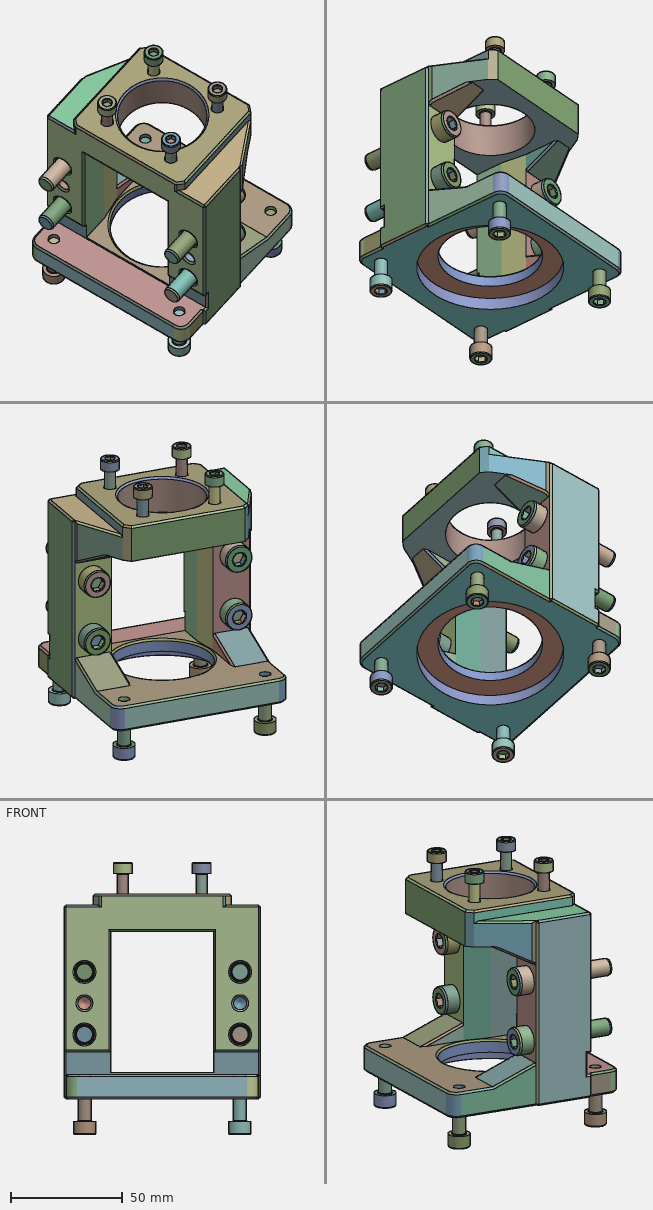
import cadquery as cq
import math

BREAK = 0.92

BASE_SIDE = 86.0
BASE_THICKNESS = 12.0
FRONT_STRIP_THICKNESS = 11.0
BASE_CORNER_RADIUS = 5.0
BASE_BORE_RADIUS = 23.4
BASE_RECESS_RADIUS = 33.0
BASE_RECESS_DEPTH = 6.0

FRAME_WIDTH = 88.0
FRAME_DEPTH = 28.0
FRAME_HEIGHT = 87.0
FRONT_Y = -FRAME_DEPTH
WINDOW_HALF_WIDTH = 23.0
WINDOW_REAR_HALF_WIDTH = 25.0
WINDOW_FLARE_Y = -12.7
NOTCH_DEPTH = 2.1
NOTCH_TOP = 21.0
NOTCH_Y = FRONT_Y + NOTCH_DEPTH

HEAD_TOP = 92.0
HEAD_UNDERSIDE = 75.0
HEAD_HALF_WIDTH = 31.0
HEAD_REAR_Y = FRAME_DEPTH
HEAD_CORNER = 3.0
HEAD_FRONT_BREAK = 0.6
HEAD_BORE_RADIUS = 20.0
SHOULDER_STRAIGHT = 2.0

GUSSET_HALF_WIDTH = BASE_SIDE / 2
UPPER_GUSSET_FOOT = 66.0
UPPER_GUSSET_REACH = 17.9
LOWER_GUSSET_FOOT = 20.0
LOWER_GUSSET_REACH = 21.7
GUSSET_ROOT = 3.7

HEAD_SCREW = (5.0, 8.5, 5.0, 4.0, 0.5)
BASE_SCREW = (6.0, 10.0, 6.0, 5.0, 0.5)
POST_SCREW = (7.9, 12.9, 7.1, 6.0, 1.0)
SCREW_BREAK = 0.4
TIP_LENGTH = 1.0
SCREW_EMBED = 4.9
HEAD_SCREW_OFFSET = 17.7
HEAD_SCREW_REACH = 14.0
HEAD_SCREW_HOLE = 5.6
HEAD_SCREW_HOLE_DEPTH = 1.2
BASE_SCREW_OFFSET = 34.8
BASE_SCREW_REACH = 16.0
BASE_HOLE_DIAMETER = 5.1
BASE_HOLE_DEPTH = 2.2
POST_HOLE_X = 34.9
POST_HOLE_Z = 43.0
POST_SCREW_PITCH = 28.0
POST_SCREW_TIP_Y = -41.1
POST_CLEARANCE_DIAMETER = 9.0
POST_CLEARANCE_BREAK = 0.6
DOWEL_HOLE_DIAMETER = 5.9
DOWEL_HOLE_DEPTH = 12.2
DOWEL_HOLE_BREAK = 0.9
DRILL_POINT_ANGLE = 118


def block(x0, x1, y0, y1, z0, z1):
    return cq.Workplane("XY").box(x1 - x0, y1 - y0, z1 - z0, centered=False).translate((x0, y0, z0))


def both_sides(solid):
    return solid.union(solid.mirror("YZ"))


def plate(thickness):
    """Square plate with round corners and broken top and bottom edges."""
    body = cq.Workplane("XY").rect(BASE_SIDE, BASE_SIDE).extrude(thickness)
    return body.edges("|Z").fillet(BASE_CORNER_RADIUS).faces("<Z or >Z").edges().chamfer(BREAK)


def turned(profile):
    """Solid of revolution about Z from (radius, height) points."""
    return cq.Workplane("XZ").polyline(profile).close().revolve(360, (0, 0), (0, 1))


def broken_bore(radius, bottom, top):
    """Cutter for a vertical bore with a chamfered top rim."""
    profile = [(0, bottom), (radius, bottom), (radius, top - BREAK), (radius + BREAK, top), (0, top)]
    return turned(profile)


def base():
    """Base plate whose front strip is slightly lower than the rest."""
    half = BASE_SIDE / 2
    front = plate(FRONT_STRIP_THICKNESS).intersect(block(-half, half, -half, NOTCH_Y, 0, BASE_THICKNESS))
    rear = plate(BASE_THICKNESS).intersect(block(-half, half, NOTCH_Y, half, 0, BASE_THICKNESS))
    return front.union(rear)


def frame():
    half = FRAME_WIDTH / 2
    return block(-half, half, FRONT_Y, 0, 0, FRAME_HEIGHT).edges().chamfer(BREAK)


def head_plate():
    """Raised plate with cut corners, flush with the front of the frame."""
    height = HEAD_TOP - HEAD_UNDERSIDE
    body = block(-HEAD_HALF_WIDTH, HEAD_HALF_WIDTH, FRONT_Y, HEAD_REAR_Y, HEAD_UNDERSIDE, HEAD_TOP)
    body = body.edges("|Z").chamfer(HEAD_CORNER)
    body = body.faces("<Y").edges("|Z").chamfer(HEAD_FRONT_BREAK)
    return body.faces(">Z").edges().chamfer(BREAK)


def shoulder_outline(inner_x):
    """Plan of the right-hand shoulder behind the frame, tapering to the head plate."""
    return [
        (inner_x, -GUSSET_ROOT),
        (GUSSET_HALF_WIDTH, -GUSSET_ROOT),
        (GUSSET_HALF_WIDTH, SHOULDER_STRAIGHT),
        (HEAD_HALF_WIDTH, HEAD_REAR_Y - HEAD_CORNER),
        (HEAD_HALF_WIDTH - HEAD_CORNER, HEAD_REAR_Y),
        (inner_x, HEAD_REAR_Y),
    ]


def shoulders():
    right = cq.Workplane("XY").workplane(offset=HEAD_UNDERSIDE).polyline(shoulder_outline(0)).close()
    right = right.extrude(FRAME_HEIGHT - HEAD_UNDERSIDE)
    return both_sides(right.faces(">Z").edges("not (|X or |Y)").chamfer(BREAK))


def upper_gussets():
    """Wedges under the shoulders, with the edges of the sloping face broken."""
    slope = (HEAD_UNDERSIDE - UPPER_GUSSET_FOOT) / UPPER_GUSSET_REACH
    rise = 2 * BREAK
    top = HEAD_UNDERSIDE + rise
    profile = [
        (-GUSSET_ROOT, top),
        (-GUSSET_ROOT, UPPER_GUSSET_FOOT - slope * GUSSET_ROOT),
        (UPPER_GUSSET_REACH + rise / slope, top),
    ]
    wedge = cq.Workplane("YZ").polyline(profile).close().extrude(GUSSET_HALF_WIDTH)
    plan = cq.Workplane("XY").polyline(shoulder_outline(WINDOW_REAR_HALF_WIDTH)).close().extrude(FRAME_HEIGHT)
    right = wedge.intersect(plan)
    right = right.faces("<Z").edges("not |X").chamfer(BREAK)
    return both_sides(right)


def lower_gussets():
    """Wedges standing on the base plate, with the edges of the sloping face broken."""
    slope = (LOWER_GUSSET_FOOT - BASE_THICKNESS) / LOWER_GUSSET_REACH
    bottom = BASE_THICKNESS - BREAK
    profile = [
        (-GUSSET_ROOT, bottom),
        (-GUSSET_ROOT, LOWER_GUSSET_FOOT + slope * GUSSET_ROOT),
        (LOWER_GUSSET_REACH + BREAK / slope, bottom),
    ]
    right = cq.Workplane("YZ").workplane(offset=WINDOW_REAR_HALF_WIDTH).polyline(profile).close()
    right = right.extrude(GUSSET_HALF_WIDTH - WINDOW_REAR_HALF_WIDTH)
    right = right.faces(">Z").edges("not |X").chamfer(BREAK)
    return both_sides(right)


def window():
    """Opening through the frame, flared at the rear and chamfered at the front."""
    outline = [
        (0, FRONT_Y),
        (WINDOW_HALF_WIDTH, FRONT_Y),
        (WINDOW_HALF_WIDTH, WINDOW_FLARE_Y),
        (WINDOW_REAR_HALF_WIDTH, 0),
        (0, 0),
    ]
    right = cq.Workplane("XY").workplane(offset=BASE_THICKNESS).polyline(outline).close()
    opening = both_sides(right.extrude(HEAD_UNDERSIDE - BASE_THICKNESS))
    bottom = (FRONT_STRIP_THICKNESS + NOTCH_TOP) / 2
    top = HEAD_UNDERSIDE + BREAK
    rim = cq.Workplane("XZ", origin=(0, FRONT_Y, (bottom + top) / 2))
    rim = rim.rect(2 * (WINDOW_HALF_WIDTH + BREAK), top - bottom).extrude(-BREAK, taper=45)
    return opening.union(rim)


def notch():
    """Shallow step across the foot of the frame, chamfered along its front and side edges."""
    half = FRAME_WIDTH / 2
    profile = [
        (FRONT_Y, FRONT_STRIP_THICKNESS),
        (NOTCH_Y, FRONT_STRIP_THICKNESS),
        (NOTCH_Y, NOTCH_TOP),
        (FRONT_Y + BREAK, NOTCH_TOP),
        (FRONT_Y, NOTCH_TOP + BREAK),
    ]
    step = cq.Workplane("YZ").polyline(profile).close().extrude(half, both=True)
    height = NOTCH_TOP - FRONT_STRIP_THICKNESS + 2 * BREAK
    middle = (NOTCH_TOP + FRONT_STRIP_THICKNESS) / 2
    rim = cq.Workplane("YZ", origin=(half, FRONT_Y, middle))
    rim = rim.rect(2 * (NOTCH_DEPTH + BREAK), height).extrude(-BREAK, taper=45)
    return step.union(both_sides(rim))


def head_height(size):
    return size[2]


def screw(size, length):
    """Socket screw along Z: head above Z = 0, shank of the given length below."""
    shank_diameter, head_diameter, height, across_flats, rim_length = size
    shank_radius = shank_diameter / 2
    head_radius = head_diameter / 2
    corner_radius = across_flats / 2 / math.cos(math.radians(30))
    body = turned([
        (0, -length),
        (shank_radius - SCREW_BREAK, -length),
        (shank_radius, TIP_LENGTH - length),
        (shank_radius, -SCREW_BREAK),
        (shank_radius + SCREW_BREAK, 0),
        (head_radius, 0),
        (head_radius, height - rim_length),
        (head_radius - SCREW_BREAK, height),
        (0, height),
    ])
    socket = cq.Workplane("XY").workplane(offset=height / 2).polygon(6, 2 * corner_radius).extrude(height)
    lead_in = turned([(0, height), (corner_radius, height), (0, height - corner_radius)])
    return body.cut(socket).cut(lead_in)


def square_corners(offset):
    return [(x, y) for x in (-offset, offset) for y in (-offset, offset)]


def clearance_hole():
    """Cutter for a post screw: full-depth hole with a chamfered front rim."""
    radius = POST_CLEARANCE_DIAMETER / 2
    profile = [
        (0, 0),
        (radius + POST_CLEARANCE_BREAK, 0),
        (radius, POST_CLEARANCE_BREAK),
        (radius, FRAME_DEPTH),
        (0, FRAME_DEPTH),
    ]
    return turned(profile).rotate((0, 0, 0), (1, 0, 0), -90).translate((0, FRONT_Y, 0))


def dowel_hole():
    """Cutter for a blind hole with a chamfered rim and a drill point."""
    radius = DOWEL_HOLE_DIAMETER / 2
    point = radius / math.tan(math.radians(DRILL_POINT_ANGLE / 2))
    profile = [
        (0, 0),
        (radius + DOWEL_HOLE_BREAK, 0),
        (radius, DOWEL_HOLE_BREAK),
        (radius, DOWEL_HOLE_DEPTH),
        (0, DOWEL_HOLE_DEPTH + point),
    ]
    return turned(profile).rotate((0, 0, 0), (1, 0, 0), -90).translate((0, FRONT_Y, 0))


result = base().union(frame()).union(shoulders()).union(head_plate())
result = result.union(upper_gussets()).union(lower_gussets())
result = result.cut(window()).cut(notch())
base_recess = cq.Workplane("XY").circle(BASE_RECESS_RADIUS).extrude(BASE_RECESS_DEPTH)
result = result.cut(broken_bore(BASE_BORE_RADIUS, 0, BASE_THICKNESS)).cut(base_recess)
result = result.cut(broken_bore(HEAD_BORE_RADIUS, HEAD_UNDERSIDE, HEAD_TOP))

head_screw = screw(HEAD_SCREW, HEAD_SCREW_REACH + SCREW_EMBED)
head_hole = cq.Workplane("XY").circle(HEAD_SCREW_HOLE / 2).extrude(-HEAD_SCREW_HOLE_DEPTH)
for x, y in square_corners(HEAD_SCREW_OFFSET):
    result = result.cut(head_hole.translate((x, y, HEAD_TOP)))
    result = result.union(head_screw.translate((x, y, HEAD_TOP + HEAD_SCREW_REACH - head_height(HEAD_SCREW))))

base_screw = screw(BASE_SCREW, BASE_SCREW_REACH).rotate((0, 0, 0), (1, 0, 0), 180)
base_hole = cq.Workplane("XY").circle(BASE_HOLE_DIAMETER / 2).extrude(-BASE_HOLE_DEPTH)
for x, y in square_corners(BASE_SCREW_OFFSET):
    surface = BASE_THICKNESS if y > 0 else FRONT_STRIP_THICKNESS
    result = result.union(base_screw.translate((x, y, head_height(BASE_SCREW) - BASE_SCREW_REACH)))
    result = result.cut(base_hole.translate((x, y, surface)))

post_screw = screw(POST_SCREW, -POST_SCREW_TIP_Y).rotate((0, 0, 0), (1, 0, 0), -90)
for x in (-POST_HOLE_X, POST_HOLE_X):
    result = result.cut(dowel_hole().translate((x, 0, POST_HOLE_Z)))
    for z in (POST_HOLE_Z - POST_SCREW_PITCH / 2, POST_HOLE_Z + POST_SCREW_PITCH / 2):
        result = result.cut(clearance_hole().translate((x, 0, z)))
        result = result.union(post_screw.translate((x, 0, z)))